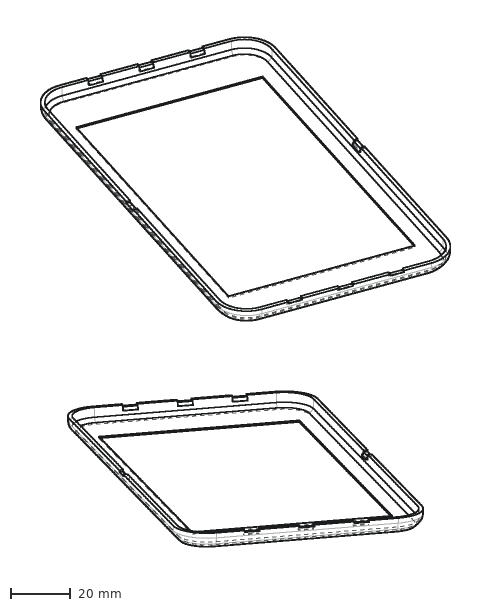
import cadquery as cq

length = 152.6
width = 86.5
height = 5.5
corner_radius = 11.6

outer_chamfer = 2.5
blend_radius = 3.4

wall = 1.45
floor_thickness = 0.6
inner_chamfer = 1.45

window_length = 115.0
window_width = 69.7

clip_width = 5.2
notch_depth = 0.58
wedge_reach = 0.69
wedge_drop = 1.19
end_clip_pitch = 19.0


def rounded_block(inset, bottom, top):
    """Rounded rectangular block, its outline set in evenly from the outer one."""
    return (
        cq.Workplane("XY")
        .workplane(offset=bottom)
        .rect(length - 2 * inset, width - 2 * inset)
        .extrude(top - bottom)
        .edges("|Z")
        .fillet(corner_radius - inset)
    )


def outer_body():
    body = rounded_block(0, 0, height).faces("<Z").chamfer(outer_chamfer)
    margin = 0.02
    band_top = cq.selectors.BoxSelector(
        (-length, -width, outer_chamfer - margin),
        (length, width, outer_chamfer + margin),
        boundingbox=True,
    )
    return body.edges(band_top).fillet(blend_radius)


def inner_hollow():
    return rounded_block(wall, floor_thickness, height).faces("<Z").chamfer(inner_chamfer)


def clip_prism(points):
    """Clip-wide prism centred on X = 0; each point is (distance inward from the outer face, Z)."""
    return (
        cq.Workplane("YZ")
        .polyline(points)
        .close()
        .extrude(clip_width / 2, both=True)
    )


def at_each_clip(prism):
    """Copies of a prism, turned and moved to every clip station of the rim."""
    copies = [
        prism.translate((0, -width / 2, 0)),
        prism.rotate((0, 0, 0), (0, 0, 1), 180).translate((0, width / 2, 0)),
    ]
    for step in (-1, 0, 1):
        y = step * end_clip_pitch
        copies.append(prism.rotate((0, 0, 0), (0, 0, 1), -90).translate((-length / 2, y, 0)))
        copies.append(prism.rotate((0, 0, 0), (0, 0, 1), 90).translate((length / 2, y, 0)))
    return copies


notch_floor = height - notch_depth
notch = clip_prism([(0, notch_floor), (wall, notch_floor), (wall, height), (0, height)])
root = wall / 2
wedge_foot = notch_floor - wedge_drop
wedge = clip_prism(
    [(root, notch_floor), (wall, notch_floor), (wall + wedge_reach, wedge_foot), (root, wedge_foot)]
)

window = cq.Workplane("XY").rect(window_length, window_width).extrude(height)

result = outer_body().cut(inner_hollow()).cut(window)
for cutter in at_each_clip(notch):
    result = result.cut(cutter)
for rib in at_each_clip(wedge):
    result = result.union(rib)